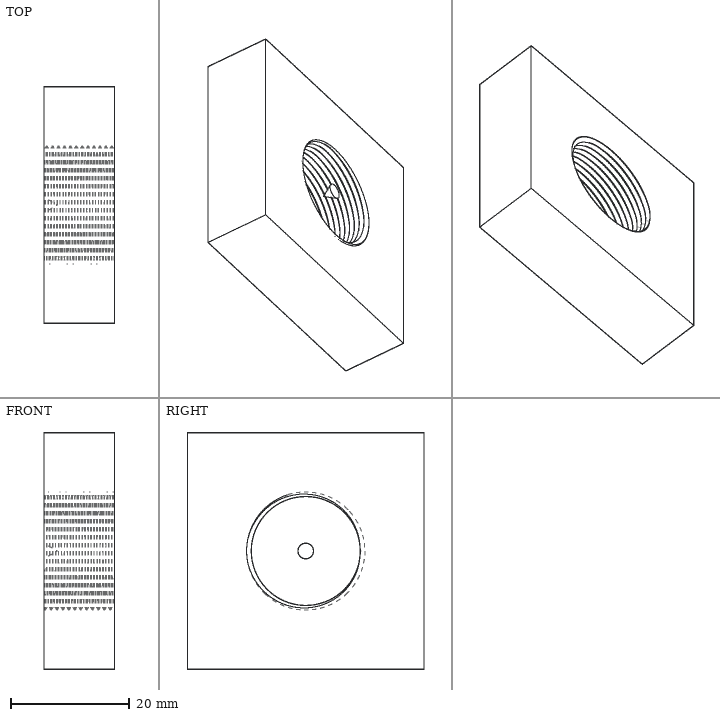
import cadquery as cq
import math

block_thickness = 12.0
block_side = 40.0
front_face_x = -block_thickness / 2

thread_major_diameter = 20.0
thread_pitch = 1.0
thread_angle = 60.0
root_flat = thread_pitch / 16
flank_width = (thread_pitch - root_flat) / 2
thread_depth = flank_width / math.tan(math.radians(thread_angle / 2))
root_radius = thread_major_diameter / 2
crest_radius = root_radius - thread_depth

turns_in_block = math.ceil(block_thickness / thread_pitch)
cutter_turns = turns_in_block + 2
cutter_length = cutter_turns * thread_pitch

cone_length = 2.31
cone_angle = 60.0
cone_base_radius = cone_length * math.tan(math.radians(cone_angle / 2))


def helix_turn(radius, start_z):
    """One turn of the thread helix about Z, starting on the +X side."""
    helix = cq.Wire.makeHelix(thread_pitch, thread_pitch, radius, cq.Vector(0, 0, start_z))
    return helix.Edges()[0]


def groove_faces(start_z):
    """The groove faces of one thread turn: two flanks with the flat root between them."""
    lower_crest = helix_turn(crest_radius, start_z)
    lower_root = helix_turn(root_radius, start_z + flank_width)
    upper_root = helix_turn(root_radius, start_z + flank_width + root_flat)
    upper_crest = helix_turn(crest_radius, start_z + thread_pitch)
    return [
        cq.Face.makeRuledSurface(lower_crest, lower_root),
        cq.Face.makeRuledSurface(lower_root, upper_root),
        cq.Face.makeRuledSurface(upper_root, upper_crest),
    ]


def end_cap(start_z):
    """Helical ramp from the axis to the crest, plus the flat step that closes its one-pitch rise."""
    end_z = start_z + thread_pitch
    axis_bottom = cq.Vector(0, 0, start_z)
    axis_top = cq.Vector(0, 0, end_z)
    axis = cq.Edge.makeLine(axis_bottom, axis_top)
    ramp = cq.Face.makeRuledSurface(axis, helix_turn(crest_radius, start_z))
    step_outline = cq.Wire.makePolygon(
        [
            axis_bottom,
            cq.Vector(crest_radius, 0, start_z),
            cq.Vector(root_radius, 0, start_z + flank_width),
            cq.Vector(root_radius, 0, start_z + flank_width + root_flat),
            cq.Vector(crest_radius, 0, end_z),
            axis_top,
        ],
        close=True,
    )
    return [ramp, cq.Face.makeFromWires(step_outline)]


def make_thread_cutter():
    """Solid screw with the bore's thread on it, its turns starting on the +Y side of the X axis."""
    faces = end_cap(0) + end_cap(cutter_length)
    for turn in range(cutter_turns):
        faces += groove_faces(turn * thread_pitch)
    screw = cq.Solid.makeSolid(cq.Shell.makeShell(faces))
    return (
        cq.Workplane(obj=screw)
        .rotate((0, 0, 0), (0, 0, 1), 90)
        .rotate((0, 0, 0), (0, 1, 0), 90)
        .translate((front_face_x - thread_pitch, 0, 0))
    )


def make_block():
    """Square block with its threaded through bore."""
    blank = cq.Workplane("XY").box(block_thickness, block_side, block_side)
    return blank.cut(make_thread_cutter())


def make_cone():
    """Pointed cone with its base on the -X face plane and its tip toward +X."""
    half_profile = (
        cq.Workplane("XY", origin=(front_face_x, 0, 0))
        .lineTo(cone_length, 0)
        .lineTo(0, cone_base_radius)
        .close()
    )
    return half_profile.revolve(360, (0, 0, 0), (1, 0, 0))


block = make_block().solids()
cone = make_cone()

result = cq.Compound.makeCompound([block.val(), cone.val()])